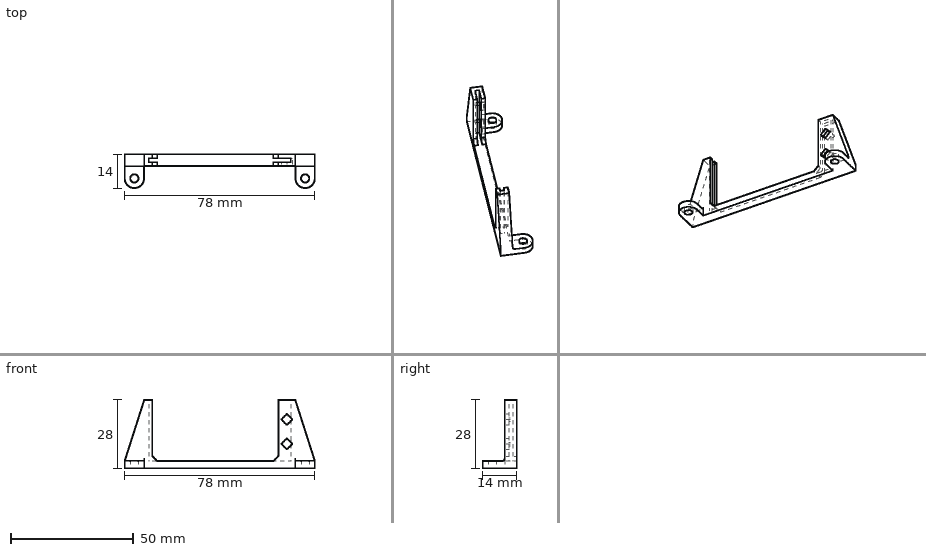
import cadquery as cq
import math

length = 78.0
height = 28.0
frame_depth = 5.0
base_height = 3.0
post_top_inset = 8.0
chamfer = 2.0

slot_width = 1.7
slot_end_inset = 10.0
slot_left = slot_end_inset
slot_right = length - slot_end_inset
left_post_inner = 11.4
right_post_inset = 15.0
right_post_inner = length - right_post_inset

lug_width = 8.0
lug_radius = lug_width / 2
lug_hole_offset = 5.0
lug_hole_diameter = 3.3
lug_fillet = 1.0

slot_wall = (frame_depth - slot_width) / 2

diamond_side = 3.2
diamond_inset = 3.5
diamond_x = right_post_inner + diamond_inset
diamond_heights = (10.0, 20.0)
diamond_depth = slot_wall + slot_width



def front_prism(outline, y_start, y_end):
    """Extrude a closed XZ outline from y_start to y_end."""
    plane = cq.Workplane("XZ", origin=(0, y_start, 0))
    return plane.polyline(outline).close().extrude(y_start - y_end)


def make_frame():
    """Base bar with two posts, sloped outside and chamfered at the inner corners."""
    outline = [
        (0, 0),
        (length, 0),
        (length, base_height),
        (length - post_top_inset, height),
        (right_post_inner, height),
        (right_post_inner, base_height + chamfer),
        (right_post_inner - chamfer, base_height),
        (left_post_inner + chamfer, base_height),
        (left_post_inner, base_height + chamfer),
        (left_post_inner, height),
        (post_top_inset, height),
        (0, base_height),
    ]
    return front_prism(outline, 0, frame_depth)


def make_slot():
    """Vertical board slot running into both posts down to the top of the base bar."""
    slot_length = slot_right - slot_left
    slot_height = height - base_height
    corner = cq.Workplane("XY", origin=(slot_left, slot_wall, base_height))
    return corner.box(slot_length, slot_width, slot_height, centered=False)


def make_lug(x_left):
    """Round-ended mounting lug with its screw hole."""
    x_center = x_left + lug_radius
    x_right = x_left + lug_width
    lug = (
        cq.Workplane("XY")
        .moveTo(x_left, 0)
        .lineTo(x_left, -lug_hole_offset)
        .threePointArc((x_center, -lug_hole_offset - lug_radius), (x_right, -lug_hole_offset))
        .lineTo(x_right, 0)
        .close()
        .extrude(base_height)
    )
    hole = (
        cq.Workplane("XY")
        .center(x_center, -lug_hole_offset)
        .circle(lug_hole_diameter / 2)
        .extrude(base_height)
    )
    return lug.cut(hole)


def make_lug_fillet(x_left):
    """Concave fillet between lug and post, trimmed by the sloped post edge."""
    arc_offset = lug_fillet * (1 - math.sqrt(0.5))
    strip = (
        cq.Workplane("YZ", origin=(x_left, 0, 0))
        .moveTo(0, base_height)
        .lineTo(-lug_fillet, base_height)
        .threePointArc((-arc_offset, base_height + arc_offset), (0, base_height + lug_fillet))
        .close()
        .extrude(lug_width)
    )
    slope_limits = [
        (0, base_height),
        (length, base_height),
        (length - post_top_inset, height),
        (post_top_inset, height),
    ]
    return strip.intersect(front_prism(slope_limits, -lug_fillet, 0))


def make_diamond(z_center):
    """Diamond pocket through the front wall and across the slot."""
    half = diamond_side / math.sqrt(2)
    outline = [
        (diamond_x - half, z_center),
        (diamond_x, z_center - half),
        (diamond_x + half, z_center),
        (diamond_x, z_center + half),
    ]
    return front_prism(outline, 0, diamond_depth)


result = make_frame().cut(make_slot())
for lug_x in (0, length - lug_width):
    result = result.union(make_lug(lug_x)).union(make_lug_fillet(lug_x))
for diamond_z in diamond_heights:
    result = result.cut(make_diamond(diamond_z))